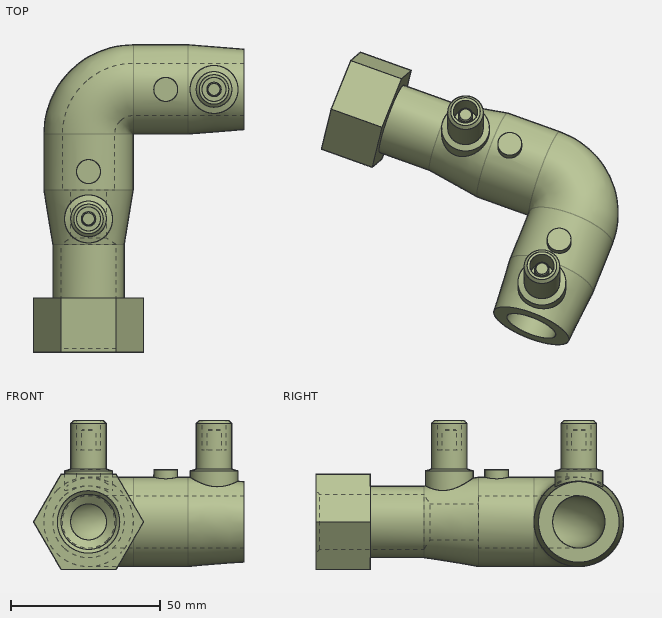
import cadquery as cq
import math

tube_diameter = 30.0
tube_radius = tube_diameter / 2
bore_diameter = 17.5
throat_diameter = 12.1
throat_cone_length = 2.1

y_leg_straight = 18.6
y_leg_taper = 18.2
y_leg_neck = 17.9
neck_diameter = 24.0

nut_length = 18.2
nut_across_flats = 31.9
nut_bore_diameter = 18.4
nut_mouth_diameter = 20.9
nut_mouth_depth = 1.2

x_leg_straight = 18.3
x_leg_taper = 18.7
x_leg_end_diameter = 27.0

stud_diameter = 12.0
stud_top = 34.0
stud_chamfer = 1.0
stud_base_diameter = 16.1
stud_base_top = 17.7
stud_base_slope = 0.6
stud_hole_diameter = 8.0
stud_hole_depth = 10.0
pin_diameter = 4.8
pin_height = 7.0
pin_chamfer = 0.4
stud_places = [(0, -43.4), (42.0, 0)]

button_diameter = 8.0
button_top = 17.5
button_places = [(0, -27.5), (25.9, 0)]

bend_end = tube_radius
y_taper_start = bend_end + y_leg_straight
y_taper_end = y_taper_start + y_leg_taper
nut_start = y_taper_end + y_leg_neck
nut_end = nut_start + nut_length
x_taper_start = bend_end + x_leg_straight
x_end = x_taper_start + x_leg_taper


def turned_profile(stations):
    """Solid of revolution about Y from (distance along -Y, diameter) pairs."""
    outline = [(diameter / 2, -distance) for distance, diameter in stations]
    points = [(0, -stations[0][0])] + outline + [(0, -stations[-1][0])]
    return cq.Workplane("XY").polyline(points).close().revolve(360, (0, 0), (0, 1))


def onto_x_leg(solid):
    """Turn a solid built along -Y so that it lies along +X."""
    return solid.rotate((0, 0, 0), (0, 0, 1), 90)


def bend(diameter):
    """Quarter bend between the two legs, turning about their inner corner."""
    return (
        cq.Workplane("XZ", origin=(0, -bend_end, 0))
        .circle(diameter / 2)
        .revolve(90, (bend_end, 0), (bend_end, -1))
    )


def upright_cylinder(place, diameter, top):
    """Vertical cylinder rising from the tube axis to the given height."""
    return cq.Workplane("XY").center(*place).circle(diameter / 2).extrude(top)


def nut():
    corner_diameter = nut_across_flats / math.cos(math.pi / 6)
    return (
        cq.Workplane("XZ", origin=(0, -nut_start, 0))
        .polygon(6, corner_diameter)
        .extrude(nut_length)
    )


def stud(place):
    """Chamfered post on a base whose top slopes down from the post to the rim."""
    rim_height = stud_base_top - stud_base_slope
    base = upright_cylinder(place, stud_base_diameter, rim_height)
    slope = (
        base.faces(">Z").workplane().circle(stud_base_diameter / 2)
        .workplane(offset=stud_base_slope).circle(stud_diameter / 2)
        .loft(combine=True)
    )
    post = upright_cylinder(place, stud_diameter, stud_top)
    return slope.union(post.faces(">Z").chamfer(stud_chamfer))


def stud_socket(place):
    """Blind hole in the stud top that leaves a contact pin standing in its middle."""
    floor = stud_top - stud_hole_depth
    hole = upright_cylinder(place, stud_hole_diameter, stud_top)
    pin = upright_cylinder(place, pin_diameter, floor + pin_height).faces(">Z").chamfer(pin_chamfer)
    below_floor = upright_cylinder(place, stud_hole_diameter, floor)
    return hole.cut(below_floor).cut(pin)


y_leg = turned_profile([
    (bend_end, tube_diameter),
    (y_taper_start, tube_diameter),
    (y_taper_end, neck_diameter),
    (nut_start, neck_diameter),
])
x_leg = onto_x_leg(turned_profile([
    (bend_end, tube_diameter),
    (x_taper_start, tube_diameter),
    (x_end, x_leg_end_diameter),
]))
result = y_leg.union(bend(tube_diameter)).union(x_leg).union(nut())

for place in stud_places:
    result = result.union(stud(place))
for place in button_places:
    result = result.union(upright_cylinder(place, button_diameter, button_top))

y_bore = turned_profile([
    (bend_end, bore_diameter),
    (y_taper_start, bore_diameter),
    (y_taper_start, throat_diameter),
    (y_taper_end - throat_cone_length, throat_diameter),
    (y_taper_end, nut_bore_diameter),
    (nut_end - nut_mouth_depth, nut_bore_diameter),
    (nut_end, nut_mouth_diameter),
])
x_bore = onto_x_leg(turned_profile([(bend_end, bore_diameter), (x_end, bore_diameter)]))
result = result.cut(y_bore).cut(bend(bore_diameter)).cut(x_bore)

for place in stud_places:
    result = result.cut(stud_socket(place))